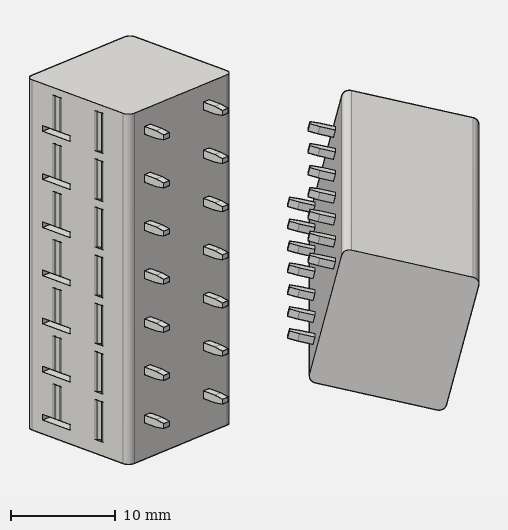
import cadquery as cq
import math

body_length = 13.5
body_width = 14.4
body_height = 36.4
corner_radius = 0.75

pole_count = 7
pole_span = 30.0
pole_pitch = pole_span / (pole_count - 1)
pole_offsets = [pole * pole_pitch for pole in range(pole_count)]

overall_length = 16.0
pin_size = 0.8
pin_taper_length = 1.0
pin_tip_height = 0.5
lowest_pin_z = 4.2
pin_row_positions = (-4.62, 3.55)

entry_positions = (4.08, 9.57)
entry_width = 1.1
entry_height = 4.15
lowest_entry_z = 1.45
entry_side_angle = math.radians(13)
groove_width = 0.62
groove_depth = 0.235

release_center_x = 3.95
release_width = 3.6
release_opening = 0.6
release_roof_angle = math.radians(30)
release_depth = release_opening / math.tan(release_roof_angle)

front_y = -body_width / 2


def make_body():
    body = cq.Workplane("XY").box(body_length, body_width, body_height, centered=(False, True, False))
    return body.edges("|Z").fillet(corner_radius)


def make_pin(y, z):
    """Square pin whose upper and lower sides taper towards the tip."""
    half_size = pin_size / 2
    half_tip = pin_tip_height / 2
    taper_start = overall_length - pin_taper_length
    return (
        cq.Workplane("XZ", origin=(0, y, z))
        .moveTo(body_length - corner_radius, -half_size)
        .lineTo(taper_start, -half_size)
        .lineTo(overall_length, -half_tip)
        .lineTo(overall_length, half_tip)
        .lineTo(taper_start, half_size)
        .lineTo(body_length - corner_radius, half_size)
        .close()
        .extrude(half_size, both=True)
    )


def make_entry(x, z):
    """Cutter for one entry, extruded upwards from z."""
    half_width = entry_width / 2
    half_groove = groove_width / 2
    floor_y = (half_width - half_groove) * math.tan(entry_side_angle)
    return (
        cq.Workplane("XY", origin=(x, front_y, z))
        .moveTo(-half_width, 0)
        .lineTo(-half_groove, floor_y)
        .threePointArc((0, floor_y + groove_depth), (half_groove, floor_y))
        .lineTo(half_width, 0)
        .close()
        .extrude(entry_height)
    )


def make_release_slot(z):
    """Wedge cutter with a level floor at z and a roof that falls to meet it inside the body."""
    return (
        cq.Workplane("YZ", origin=(release_center_x, front_y, z))
        .polyline([(0, 0), (release_depth, 0), (0, release_opening)])
        .close()
        .extrude(release_width / 2, both=True)
    )


result = make_body()
for offset in pole_offsets:
    for pin_y in pin_row_positions:
        result = result.union(make_pin(pin_y, lowest_pin_z + offset))
    for entry_x in entry_positions:
        result = result.cut(make_entry(entry_x, lowest_entry_z + offset))
    result = result.cut(make_release_slot(lowest_entry_z + offset))